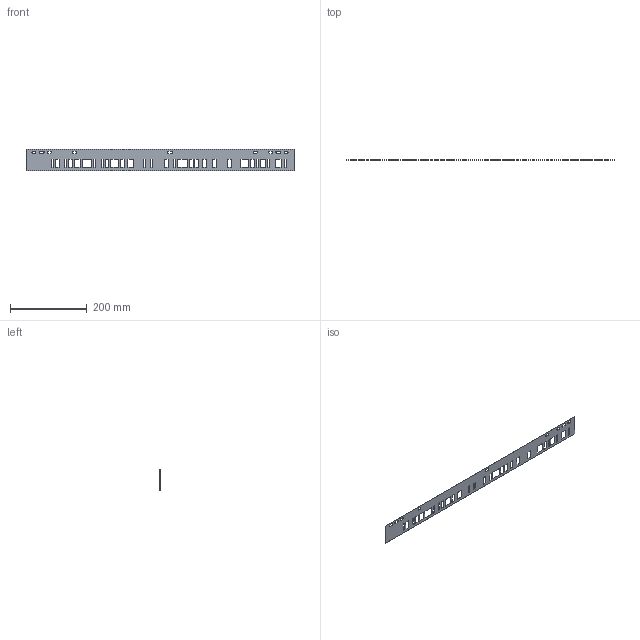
import cadquery as cq

LENGTH = 700.0
HEIGHT = 55.0
THICKNESS = 0.5

CELL = 5.0
GRID_START = 1.4
WINDOW_BOTTOM = 8.0
WINDOW_HEIGHT = 21.0

WINDOWS = [
    (13, 1), (15, 2), (20, 1), (22, 2), (25, 3), (29, 5), (35, 1), (39, 1),
    (41, 2), (44, 4), (49, 2), (53, 3), (61, 1), (65, 1), (72, 2), (77, 1),
    (79, 5), (85, 2), (88, 2), (92, 2), (97, 2), (105, 2), (112, 4), (117, 2),
    (120, 1), (122, 3), (126, 1), (130, 3), (135, 1),
]

SLOT_WIDTH = 6.5
SHORT_SLOT_LENGTH = 10.5
LONG_SLOT_LENGTH = 13.0
SLOT_LINE = HEIGHT - 7.5

END_INSET = 20.75
END_PITCH = 20.0
OUTER_SLOT = END_INSET
MIDDLE_SLOT = OUTER_SLOT + END_PITCH
INNER_SLOT = MIDDLE_SLOT + END_PITCH

LEFT_SHORT_SLOT = 126.4
RIGHT_SHORT_SLOT = 598.6
CENTRAL_LONG_SLOT = 376.25

SHORT_SLOTS = [
    OUTER_SLOT,
    INNER_SLOT,
    LEFT_SHORT_SLOT,
    RIGHT_SHORT_SLOT,
    LENGTH - INNER_SLOT,
    LENGTH - OUTER_SLOT,
]
LONG_SLOTS = [MIDDLE_SLOT, CENTRAL_LONG_SLOT, LENGTH - MIDDLE_SLOT]


def make_block(x, z, width, height):
    """Rectangular block through the thickness, placed by its lower left corner."""
    return (
        cq.Workplane("XZ")
        .moveTo(x, z)
        .rect(width, height, centered=False)
        .extrude(-THICKNESS)
    )


def cut_windows(sheet):
    for first_cell, cell_count in WINDOWS:
        left = GRID_START + first_cell * CELL
        window = make_block(left, WINDOW_BOTTOM, cell_count * CELL, WINDOW_HEIGHT)
        sheet = sheet.cut(window)
    return sheet


def cut_slots(sheet, positions, slot_length):
    centres = [(x, SLOT_LINE) for x in positions]
    slots = (
        cq.Workplane("XZ")
        .pushPoints(centres)
        .slot2D(slot_length, SLOT_WIDTH)
        .extrude(-THICKNESS)
    )
    return sheet.cut(slots)


strip = make_block(0, 0, LENGTH, HEIGHT)
strip = cut_windows(strip)
strip = cut_slots(strip, SHORT_SLOTS, SHORT_SLOT_LENGTH)
result = cut_slots(strip, LONG_SLOTS, LONG_SLOT_LENGTH)